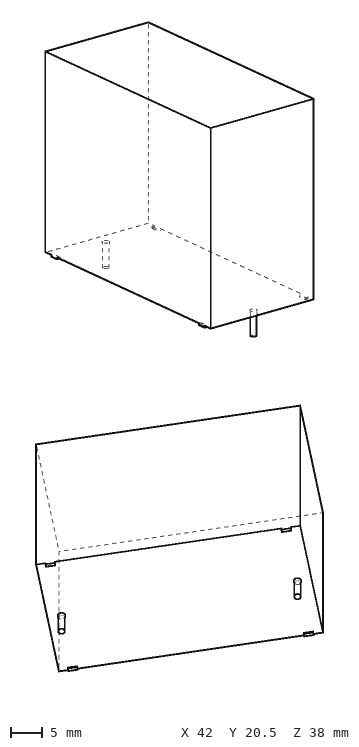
import cadquery as cq

length = 42.0
width = 20.5
overall_height = 38.0

lead_diameter = 1.0
lead_pitch = 37.5
lead_length_below_feet = 4.0

foot_length = 1.5
foot_width = 0.5
foot_height = 0.3

seal_diameter = 1.2
seal_height = 0.5

lead_length = foot_height + lead_length_below_feet
body_height = overall_height - lead_length
lead_positions = [(-lead_pitch / 2, 0), (lead_pitch / 2, 0)]


def make_body():
    """Plain rectangular case with its underside on Z = 0."""
    return cq.Workplane("XY").box(length, width, body_height, centered=(True, True, False))


def make_feet():
    """Four low pads, level with the leads in X and flush with the long sides."""
    foot_offset = (width - foot_width) / 2
    foot_positions = [(x, side * foot_offset) for x, _ in lead_positions for side in (-1, 1)]
    return cq.Workplane("XY").pushPoints(foot_positions).rect(foot_length, foot_width).extrude(-foot_height)


def make_leads():
    """Straight round leads below the case."""
    return cq.Workplane("XY").pushPoints(lead_positions).circle(lead_diameter / 2).extrude(-lead_length)


def make_seals():
    """Short cones around the leads, narrowing from the case down to the lead diameter."""
    seal = cq.Solid.makeCone(
        seal_diameter / 2,
        lead_diameter / 2,
        seal_height,
        dir=cq.Vector(0, 0, -1),
    )
    return cq.Workplane("XY").pushPoints(lead_positions).eachpoint(seal, combine=False)


result = make_body().union(make_feet()).union(make_leads()).union(make_seals())